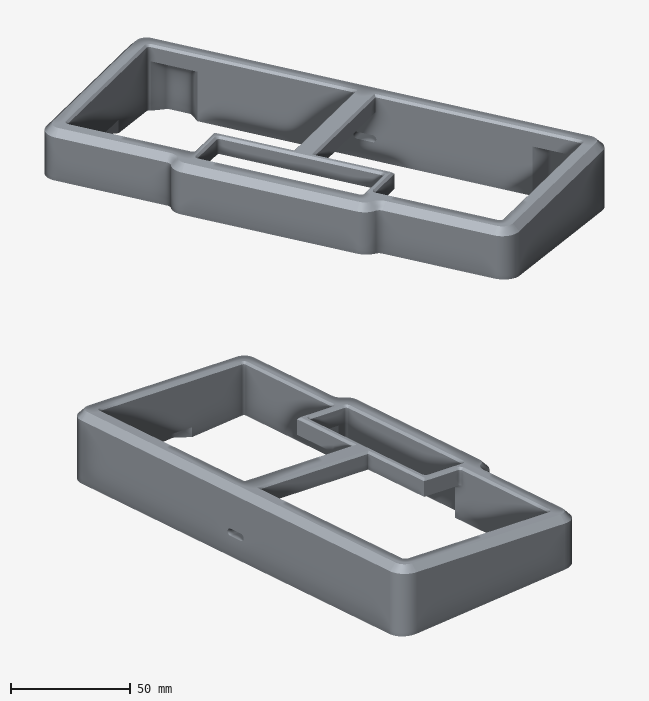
import cadquery as cq
import math

LENGTH = 220.0
DEPTH = 101.9
HEIGHT = 32.0
BOTTOM_TILT = 5.0

TAB_DEPTH = 5.5
TAB_STRAIGHT_HALF = 40.7
CORNER_RADIUS = 8.0
TAB_INNER_RADIUS = 2.9
RIM_CHAMFER = 3.0

WALL = 9.0
TAB_WALL = 10.1
PLATE = 8.1
BAR_WIDTH = 10.0
DISPLAY_WIDTH = 77.0
DISPLAY_HEIGHT = 20.5
FRAME_WALL = 3.5
WINDOW_RADIUS = 1.0
WINDOW_CHAMFER = 1.0

POCKET_WIDTH = 21.8
POCKET_DEPTH = 5.5
POCKET_RADIUS = 2.5
BACK_POCKET_X = 89.0
BACK_POCKET_TOP = 24.2
SIDE_POCKET_TOP = 9.7

SLOT_LENGTH = 10.5
SLOT_HEIGHT = 3.3
SLOT_Z = 11.0

back = DEPTH / 2
tab_front = -DEPTH / 2
main_front = tab_front + TAB_DEPTH
inner_x = LENGTH / 2 - WALL
inner_back = back - WALL
inner_front = main_front + WALL
display_front = tab_front + TAB_WALL
display_back = display_front + DISPLAY_HEIGHT
frame_half = DISPLAY_WIDTH / 2 + FRAME_WALL
frame_back = display_back + FRAME_WALL
plate_bottom = HEIGHT - PLATE


def outer_body():
    """Rounded block with a front tab, chamfered rim and tilted underside."""
    main = (
        cq.Workplane("XY")
        .box(LENGTH, back - main_front, HEIGHT, centered=(True, False, False))
        .translate((0, main_front, 0))
        .edges("|Z")
        .fillet(CORNER_RADIUS)
    )
    sweep = math.acos(1 - TAB_DEPTH / (CORNER_RADIUS + TAB_INNER_RADIUS))
    meet_x = TAB_STRAIGHT_HALF + CORNER_RADIUS * math.sin(sweep)
    meet_y = tab_front + CORNER_RADIUS * (1 - math.cos(sweep))
    corner_mid_x = TAB_STRAIGHT_HALF + CORNER_RADIUS * math.sin(sweep / 2)
    corner_mid_y = tab_front + CORNER_RADIUS * (1 - math.cos(sweep / 2))
    root_x = meet_x + TAB_INNER_RADIUS * math.sin(sweep)
    blend_mid_x = root_x - TAB_INNER_RADIUS * math.sin(sweep / 2)
    blend_mid_y = main_front - TAB_INNER_RADIUS * (1 - math.cos(sweep / 2))
    tab = (
        cq.Workplane("XY")
        .moveTo(-TAB_STRAIGHT_HALF, tab_front)
        .lineTo(TAB_STRAIGHT_HALF, tab_front)
        .threePointArc((corner_mid_x, corner_mid_y), (meet_x, meet_y))
        .threePointArc((blend_mid_x, blend_mid_y), (root_x, main_front))
        .lineTo(root_x, inner_front)
        .lineTo(-root_x, inner_front)
        .lineTo(-root_x, main_front)
        .threePointArc((-blend_mid_x, blend_mid_y), (-meet_x, meet_y))
        .threePointArc((-corner_mid_x, corner_mid_y), (-TAB_STRAIGHT_HALF, tab_front))
        .close()
        .extrude(HEIGHT)
    )
    body = main.union(tab).clean().faces(">Z").chamfer(RIM_CHAMFER)
    rise = DEPTH * math.tan(math.radians(BOTTOM_TILT))
    wedge = (
        cq.Workplane("YZ")
        .polyline([(back, 0), (tab_front, rise), (tab_front, 0)])
        .close()
        .extrude(LENGTH / 2, both=True)
    )
    return body.cut(wedge)


def side_window(side):
    """L-shaped opening left (-1) or right (+1) of the bar, through the whole height."""
    bar_x = side * BAR_WIDTH / 2
    frame_x = side * frame_half
    wall_x = side * inner_x
    outline = [
        (bar_x, inner_back),
        (wall_x, inner_back),
        (wall_x, inner_front),
        (frame_x, inner_front),
        (frame_x, frame_back),
        (bar_x, frame_back),
    ]
    rounded = [(wall_x, inner_back), (wall_x, inner_front), (frame_x, inner_front)]
    window = cq.Workplane("XY").polyline(outline).close().extrude(HEIGHT)
    for x, y in rounded:
        corner = cq.selectors.NearestToPointSelector((x, y, HEIGHT / 2))
        window = window.edges(corner).fillet(WINDOW_RADIUS)
    return window


def display_window():
    """Opening for the display, through the whole height."""
    return (
        cq.Workplane("XY")
        .box(DISPLAY_WIDTH, DISPLAY_HEIGHT, HEIGHT, centered=(True, False, False))
        .translate((0, display_front, 0))
        .edges("|Z")
        .fillet(WINDOW_RADIUS)
    )


def room_below_plate():
    """Space under the bar and the display frame."""
    return (
        cq.Workplane("XY")
        .box(2 * inner_x, inner_back - inner_front, plate_bottom, centered=(True, False, False))
        .translate((0, inner_front, 0))
        .edges("|Z")
        .fillet(WINDOW_RADIUS)
    )


def wall_pocket(top):
    """Pocket with 45 degree sides, cut towards +Y from a wall face at Y = 0."""
    half = POCKET_WIDTH / 2
    floor_half = half - POCKET_DEPTH
    return (
        cq.Workplane("XY")
        .polyline([(-half, 0), (-floor_half, POCKET_DEPTH), (floor_half, POCKET_DEPTH), (half, 0)])
        .close()
        .extrude(top)
        .edges("|Z and >Y")
        .fillet(POCKET_RADIUS)
    )


def cable_slot():
    """Round-ended slot through the middle of the back wall."""
    return (
        cq.Workplane("XZ", origin=(0, inner_back, SLOT_Z))
        .slot2D(SLOT_LENGTH, SLOT_HEIGHT)
        .extrude(-WALL)
    )


result = outer_body()
for opening in (side_window(-1), side_window(1), display_window()):
    result = result.cut(opening)

select_margin = 0.2
window_edges = cq.selectors.BoxSelector(
    (-inner_x - select_margin, display_front - select_margin, plate_bottom),
    (inner_x + select_margin, inner_back + select_margin, HEIGHT + select_margin),
)
result = result.faces(">Z").edges(window_edges).chamfer(WINDOW_CHAMFER)
result = result.cut(room_below_plate())

side_pocket_y = (back + main_front) / 2
for side in (-1, 1):
    back_pocket = wall_pocket(BACK_POCKET_TOP).translate((side * BACK_POCKET_X, inner_back, 0))
    side_pocket = (
        wall_pocket(SIDE_POCKET_TOP)
        .rotate((0, 0, 0), (0, 0, 1), -90 * side)
        .translate((side * inner_x, side_pocket_y, 0))
    )
    result = result.cut(back_pocket).cut(side_pocket)

result = result.cut(cable_slot())